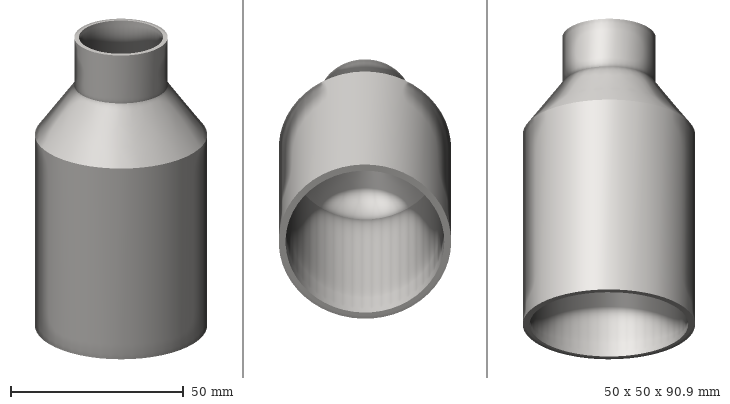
import cadquery as cq

total_height = 90.9
body_height = 60.2
neck_height = 15.1
neck_bore_depth = 16.7

body_outer_diameter = 50.0
body_bore_diameter = 46.0
neck_outer_diameter = 27.1
neck_bore_diameter = 24.35


def reducer_solid(body_diameter, neck_diameter, neck_length):
    """Revolve a solid with a wide body, a conical shoulder and a narrow neck."""
    body_radius = body_diameter / 2
    neck_radius = neck_diameter / 2
    shoulder_top = total_height - neck_length
    return (
        cq.Workplane("XZ")
        .moveTo(0, 0)
        .lineTo(body_radius, 0)
        .lineTo(body_radius, body_height)
        .lineTo(neck_radius, shoulder_top)
        .lineTo(neck_radius, total_height)
        .lineTo(0, total_height)
        .close()
        .revolve(360, (0, 0, 0), (0, 1, 0))
    )


outside = reducer_solid(body_outer_diameter, neck_outer_diameter, neck_height)
bore = reducer_solid(body_bore_diameter, neck_bore_diameter, neck_bore_depth)

result = outside.cut(bore)